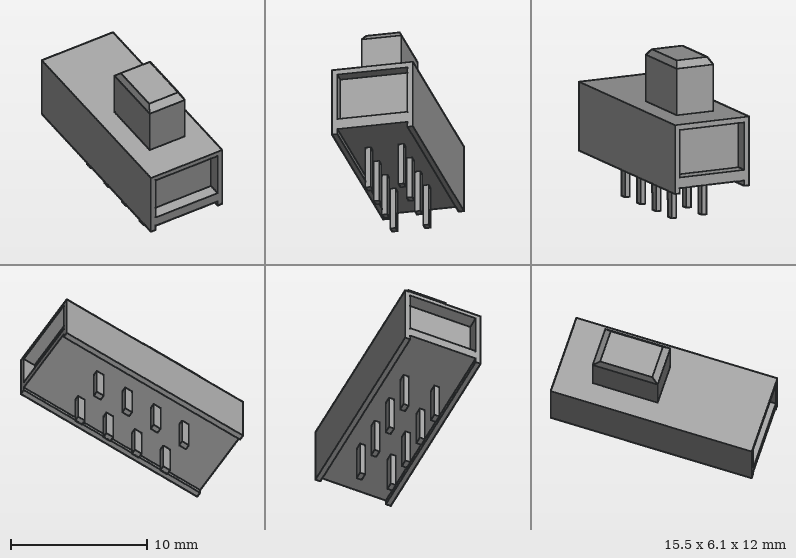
import cadquery as cq

length = 15.5
width = 6.1
height = 5.2
wall = 0.4
floor = 0.8
recess_depth = 0.95

knob_length = 5.0
knob_width = 3.0
knob_height = 4.0
knob_offset = knob_length / 2
bevel_height = 0.5
bevel_x = bevel_height
bevel_y = bevel_height / 2

pin_length = 2.79
pin_size_x = 0.6
pin_size_y = 0.4
pin_pitch = 2.5
pins_per_row = 4
row_count = 2

inner_width = width - 2 * wall
recess_bottom = wall + floor
recess_height = height - wall - recess_bottom


def block(size_x, size_y, size_z, x=0, y=0, z=0):
    """Box centred on (x, y) with its bottom at z."""
    return cq.Workplane("XY").box(size_x, size_y, size_z, centered=(True, True, False)).translate((x, y, z))


def make_housing():
    """Block with a full-length channel underneath and a blind recess in each end."""
    housing = block(length, width, height).cut(block(length, inner_width, wall))
    for end in (-1, 1):
        recess_x = end * (length - recess_depth) / 2
        housing = housing.cut(block(recess_depth, inner_width, recess_height, recess_x, 0, recess_bottom))
    return housing


def make_knob():
    """Upright block topped by a bevel that is steeper on the long sides."""
    straight_height = knob_height - bevel_height
    straight = block(knob_length, knob_width, straight_height, knob_offset, 0, height)
    bevel = (
        cq.Workplane("XY", origin=(knob_offset, 0, height + straight_height))
        .rect(knob_length, knob_width)
        .workplane(offset=bevel_height)
        .rect(knob_length - 2 * bevel_x, knob_width - 2 * bevel_y)
        .loft(ruled=True, combine=True)
    )
    return straight.union(bevel)


def make_pins():
    """Grid of rectangular pins reaching up to the channel ceiling."""
    return (
        cq.Workplane("XY", origin=(0, 0, -pin_length))
        .rarray(pin_pitch, pin_pitch, pins_per_row, row_count)
        .rect(pin_size_x, pin_size_y)
        .extrude(pin_length + wall)
    )


result = make_housing().union(make_knob()).union(make_pins())